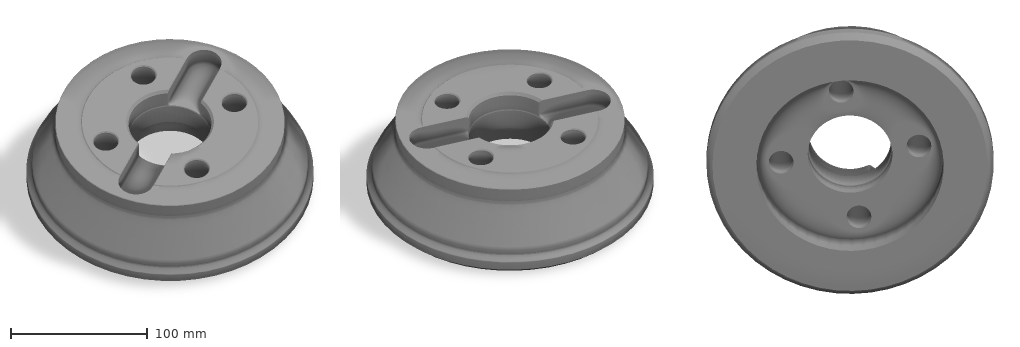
import cadquery as cq
import math

rim_diameter = 210.2
total_height = 63.0

boss_height = 0.6
shoulder_z = total_height - boss_height
neck_diameter = 168.0
skirt_diameter = 202.2
cone_half_angle = 30.0
cone_bottom_z = 20.4
cone_blend_radius = 5.0
shoulder_chamfer = 0.5
rim_bottom_chamfer = 4.5
rim_top_z = 11.1
rim_corner_radius = 1.0
rim_blend_radius = 1.0

boss_diameter = 130.0
boss_chamfer = 0.6
slot_width = 26.0
slot_length = 155.3
slot_floor_z = 48.1
slot_floor_fillet = 2.0
slot_edge_chamfer = 0.6
slot_corner_chamfer = 0.5

bore_diameter = 60.1
upper_bore_diameter = 60.7
bore_step_height = 0.8
bore_mouth_diameter = 64.3
bore_mouth_depth = 2.0
bore_relief_diameter = 62.0
bore_relief_top_z = 30.9
recess_diameter = 137.0
recess_depth = 20.4

hole_diameter = 18.0
hole_spacing = 71.9
hole_chamfer = 0.8

ring_thickness = 1.3
ring_top_z = 9.5

rim_radius = rim_diameter / 2
neck_radius = neck_diameter / 2
skirt_radius = skirt_diameter / 2
ring_inner_radius = rim_radius - ring_thickness


def revolve_profile(points):
    """Turn a closed (radius, z) outline about the Z axis."""
    return cq.Workplane("XZ").polyline(points).close().revolve(360, (0, 0), (0, 1))


def disk(diameter, bottom_z, top_z):
    """Cylinder about the Z axis between two heights."""
    return cq.Workplane("XY").workplane(offset=bottom_z).circle(diameter / 2).extrude(top_z - bottom_z)


def circles_at(radius, z):
    """Selector box for the circular edges of one radius at one height."""
    margin = 0.1
    reach = radius + margin
    return cq.selectors.BoxSelector((-reach, -reach, z - margin), (reach, reach, z + margin), boundingbox=True)


def make_blank():
    """Solid wheel below the boss: neck, flared skirt and chamfered rim, before any cuts."""
    cone_top_z = cone_bottom_z + (skirt_radius - neck_radius) / math.tan(math.radians(cone_half_angle))
    rim_blend_z = rim_top_z + rim_radius - skirt_radius
    blank = revolve_profile([
        (0, 0),
        (rim_radius - rim_bottom_chamfer, 0),
        (rim_radius, rim_bottom_chamfer),
        (rim_radius, rim_top_z),
        (skirt_radius, rim_blend_z),
        (skirt_radius, cone_bottom_z),
        (neck_radius, cone_top_z),
        (neck_radius, shoulder_z),
        (0, shoulder_z),
    ])
    blank = blank.edges(circles_at(skirt_radius, cone_bottom_z)).fillet(cone_blend_radius)
    blank = blank.edges(circles_at(neck_radius, cone_top_z)).fillet(cone_blend_radius)
    blank = blank.edges(circles_at(skirt_radius, rim_blend_z)).fillet(rim_blend_radius)
    blank = blank.edges(circles_at(rim_radius, rim_top_z)).fillet(rim_corner_radius)
    blank = blank.edges(circles_at(neck_radius, shoulder_z)).chamfer(shoulder_chamfer)
    return blank


def add_boss(wheel):
    boss_top_radius = boss_diameter / 2 - boss_chamfer
    boss = revolve_profile([
        (0, shoulder_z),
        (boss_diameter / 2, shoulder_z),
        (boss_top_radius, total_height),
        (0, total_height),
    ])
    return wheel.union(boss)


def cut_slot(wheel):
    """Round-ended slot along Y with a filleted floor; its edges are chamfered where it crosses the boss."""
    slot = (
        cq.Workplane("XY")
        .workplane(offset=slot_floor_z)
        .slot2D(slot_length, slot_width, 90)
        .extrude(total_height - slot_floor_z)
        .faces("<Z")
        .edges()
        .fillet(slot_floor_fillet)
    )
    half_width = slot_width / 2
    mouth = (
        cq.Workplane("XZ")
        .polyline([
            (-half_width, total_height - slot_edge_chamfer),
            (half_width, total_height - slot_edge_chamfer),
            (half_width + slot_edge_chamfer, total_height),
            (-half_width - slot_edge_chamfer, total_height),
        ])
        .close()
        .extrude(boss_diameter / 2, both=True)
    )
    return wheel.cut(slot).cut(mouth)


def cut_bore(wheel):
    """Central bore, slightly wider above the slot floor and relieved below, opening into the underside recess."""
    bore_radius = bore_diameter / 2
    upper_radius = upper_bore_diameter / 2
    relief_radius = bore_relief_diameter / 2
    bore = revolve_profile([
        (0, 0),
        (relief_radius, 0),
        (relief_radius, bore_relief_top_z),
        (bore_radius, bore_relief_top_z),
        (bore_radius, slot_floor_z - bore_step_height),
        (upper_radius, slot_floor_z),
        (upper_radius, total_height - bore_mouth_depth),
        (bore_mouth_diameter / 2, total_height),
        (0, total_height),
    ])
    recess = disk(recess_diameter, 0, recess_depth)
    return wheel.cut(bore).cut(recess)


def chamfer_slot_corners(wheel):
    """Break the four upright edges where the slot walls meet the upper bore."""
    corner_x = slot_width / 2
    corner_y = math.sqrt((upper_bore_diameter / 2) ** 2 - corner_x**2)
    corner_z = (slot_floor_z + total_height) / 2
    for x_side in (-1, 1):
        for y_side in (-1, 1):
            corner = (x_side * corner_x, y_side * corner_y, corner_z)
            wheel = wheel.edges(cq.selectors.NearestToPointSelector(corner)).chamfer(slot_corner_chamfer)
    return wheel


def cut_mounting_holes(wheel):
    """Four through holes on a square, chamfered at the top."""
    hole_radius = hole_diameter / 2
    hole = revolve_profile([
        (0, 0),
        (hole_radius, 0),
        (hole_radius, total_height - hole_chamfer),
        (hole_radius + hole_chamfer, total_height),
        (0, total_height),
    ])
    for x_side in (-1, 1):
        for y_side in (-1, 1):
            center = (x_side * hole_spacing / 2, y_side * hole_spacing / 2, 0)
            wheel = wheel.cut(hole.translate(center))
    return wheel


def make_rim_ring():
    """Thin ring flush with the rim and its lower chamfer, flat on top."""
    return revolve_profile([
        (ring_inner_radius, rim_bottom_chamfer - ring_thickness),
        (rim_radius, rim_bottom_chamfer),
        (rim_radius, ring_top_z),
        (ring_inner_radius, ring_top_z),
    ])


rim_ring = make_rim_ring()

wheel_body = make_blank()
wheel_body = add_boss(wheel_body)
wheel_body = cut_slot(wheel_body)
wheel_body = cut_bore(wheel_body)
wheel_body = chamfer_slot_corners(wheel_body)
wheel_body = cut_mounting_holes(wheel_body)
wheel_body = wheel_body.cut(rim_ring)

result = cq.Compound.makeCompound([wheel_body.val(), rim_ring.val()])